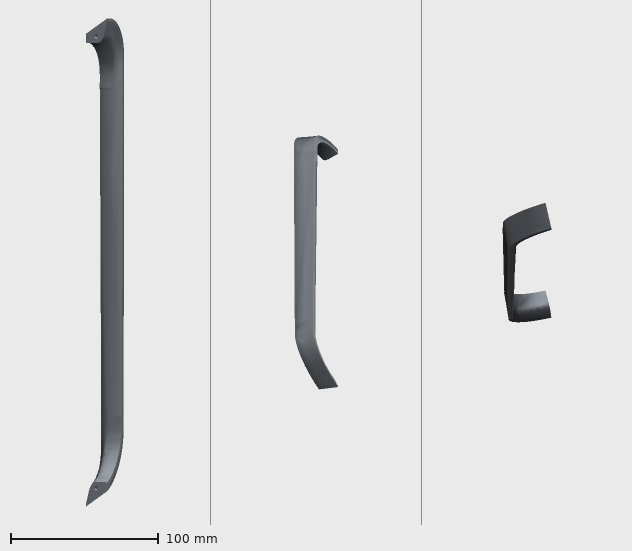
import cadquery as cq
import math

LENGTH = 348.2
WIDTH = 15.5
DEPTH = 30.0
FOOT_Y = -DEPTH / 2
HALF_WIDTH = WIDTH / 2
OUTER_RADIUS = 36.5
BEND_CENTER_Y = DEPTH / 2 - OUTER_RADIUS

BEND_STEPS = 4
GRIP_END_Z = 115.0
HOLE_DIAMETER = 3.0
HOLE_DEPTH = 10.5
HOLE_Z = 160.0

OUTER_RAILS = [
    (-HALF_WIDTH, 35.5, 161.2),
    (HALF_WIDTH, OUTER_RADIUS, LENGTH / 2),
]
INNER_RAILS = [
    (HALF_WIDTH, 33.8, 172.0),
    (5.5, 32.5, 162.5),
    (2.0, 31.5, 156.5),
    (-2.8, 31.0, 155.3),
    (-HALF_WIDTH, 31.5, 155.0),
]


def rail_point(rail, fraction):
    """Point on an upper bend rail: 0 at the foot, 1 where the grip begins."""
    x, radius, foot_z = rail
    foot_angle = math.acos((FOOT_Y - BEND_CENTER_Y) / radius)
    center_z = foot_z - radius * math.sin(foot_angle)
    angle = foot_angle * (1 - fraction)
    y = BEND_CENTER_Y + radius * math.cos(angle)
    return cq.Vector(x, y, center_z + radius * math.sin(angle))


def bend_section(fraction):
    """Outer edge and inner curve of one section in the upper bend."""
    outer = [rail_point(rail, fraction) for rail in OUTER_RAILS]
    inner = [rail_point(rail, fraction) for rail in INNER_RAILS]
    return outer, inner


def turned(section):
    """Half turn about Y, keeping the points in matching order."""
    outer, inner = section
    return tuple([cq.Vector(-p.x, p.y, -p.z) for p in reversed(row)] for row in (outer, inner))


def grip_end(section):
    """Flat section with the same profile, square to the grip."""
    return tuple([cq.Vector(p.x, p.y, GRIP_END_Z) for p in row] for row in section)


def section_wire(section):
    outer, inner = section
    return cq.Wire.assembleEdges([
        cq.Edge.makeLine(outer[0], outer[1]),
        cq.Edge.makeLine(outer[1], inner[0]),
        cq.Edge.makeSpline(inner),
        cq.Edge.makeLine(inner[-1], outer[0]),
    ])


def loft(sections, ruled=False):
    wires = [section_wire(section) for section in sections]
    return cq.Workplane(obj=cq.Solid.makeLoft(wires, ruled))


upper = [bend_section(i / BEND_STEPS) for i in range(BEND_STEPS + 1)]
upper.append(grip_end(upper[-1]))
upper_bend = loft(upper)
lower_bend = upper_bend.rotate((0, 0, 0), (0, 1, 0), 180)
grip = loft([upper[-1], turned(upper[-1])], ruled=True)
handle = upper_bend.union(grip).union(lower_bend)

for z in (HOLE_Z, -HOLE_Z):
    hole = cq.Solid.makeCylinder(
        HOLE_DIAMETER / 2, HOLE_DEPTH, cq.Vector(0, FOOT_Y, z), cq.Vector(0, 1, 0)
    )
    handle = handle.cut(cq.Workplane(obj=hole))

result = handle